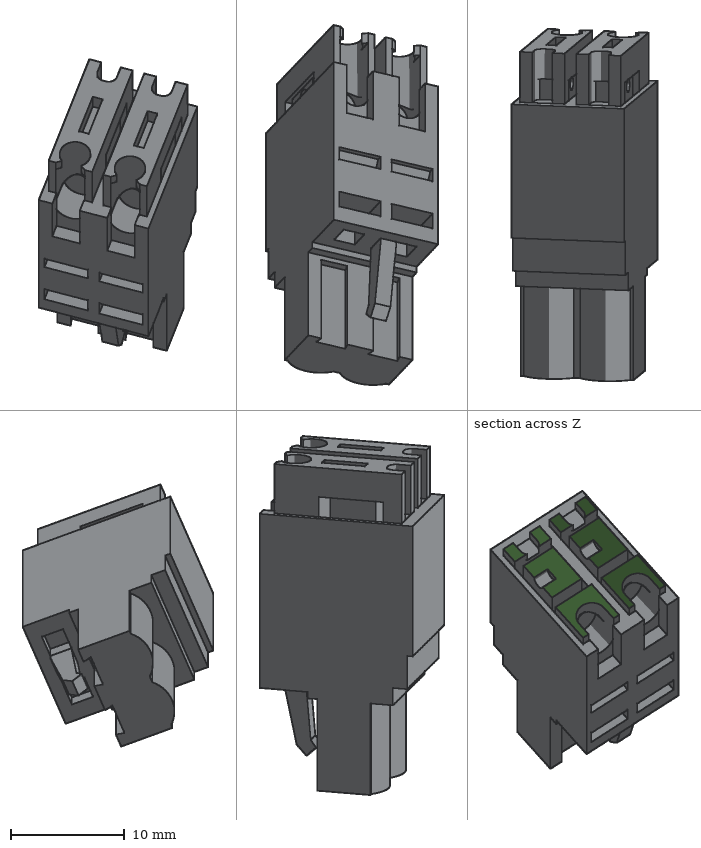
import cadquery as cq

POLES = 2
PITCH = 5.07
WIDTH = POLES * PITCH
DEPTH = 14.0
HEIGHT = 29.5
FRONT_Y = -DEPTH / 2
BACK_Y = DEPTH / 2
POLE_XS = [(pole - (POLES - 1) / 2) * PITCH for pole in range(POLES)]

BODY_TOP_Z = 25.0
BODY_BOTTOM_Z = 9.0
PLUG_TOP_Z = 8.4
BACK_STEP_1 = 0.5
BACK_STEP_1_Z = 13.05
BACK_STEP_2 = 1.8
BACK_STEP_2_Z = 10.0
COLLAR_FRONT_Y = -2.6

PLUG_FRONT_Y = -1.75
PLUG_CORNER_Y = 3.13
PLUG_CREST_Y = 4.1
LOBE_WIDTH = 4.48
KEYWAY_WIDTH = 2.55
KEYWAY_FLOOR_WIDTH = 2.83
KEYWAY_DEPTH = 0.77
KEYWAY_TOP_Z = 7.96

BUTTON_WIDTH = 4.0
BUTTON_LENGTH = 11.65
FRONT_WALL = 1.2
BUTTON_BOTTOM_Z = 20.12
BUTTON_FRONT_Y = FRONT_Y + FRONT_WALL
BUTTON_BACK_Y = BUTTON_FRONT_Y + BUTTON_LENGTH
WIRE_SLOT_WIDTH = 2.55

BORE_DIAMETER = 2.7
BORE_Y = -4.42
TURN_DIAMETER = 2.9
TURN_DEPTH = 2.77
TURN_Z = 23.25
LIP_HEIGHT = 1.0
LIP_GAP = 1.8
LIP_THROAT = 1.95
LIP_THROAT_Y = BUTTON_FRONT_Y + 0.27
LIP_PINCH_Y = BUTTON_FRONT_Y + 0.35

SLIT_WIDTH = 0.9
SLIT_LENGTH = 3.95
SLIT_DEPTH = 1.48
SLIT_Y = 0.05
NOTCH_WIDTH = 1.8
NOTCH_LENGTH = 1.85
NOTCH_CORNER_DIAMETER = 1.5
NOTCH_DEPTH = HEIGHT - BODY_TOP_Z
WINDOW_TOP_Z = 26.82
WINDOW_FRONT_Y = PLUG_FRONT_Y
WINDOW_BACK_Y = 4.15
TONGUE_FRONT_Y = -0.8
TONGUE_BACK_Y = 3.4
TONGUE_INSET = 0.35
PIVOT_DIAMETER = 1.2
PIVOT_DEPTH = 1.48
PIVOT_Y = 1.2
PIVOT_Z = 26.0

TEST_TOP_Z = 16.5
TEST_BOTTOM_Z = 15.25
TEST_DEPTH = 1.3
TEST_CEILING_DEPTH = 0.5
VENT_TOP_Z = 11.98
VENT_BOTTOM_Z = 10.47
VENT_DEPTH = 3.22
DRAIN_WIDTH = 2.0

LATCH_WIDTH = 1.5
LATCH_X = 0.8
LATCH_PROFILE = [
    (BUTTON_FRONT_Y, BODY_BOTTOM_Z),
    (BUTTON_FRONT_Y, 8.53),
    (-4.63, 3.0),
    (-3.72, 2.05),
    (-2.83, 2.83),
    (-3.33, 3.55),
    (-3.8, BODY_BOTTOM_Z),
]


def block(x_center, width, y_from, y_to, z_from, z_to):
    """Box centred on x_center, between the given Y and Z limits."""
    box = cq.Workplane("XY").box(width, y_to - y_from, z_to - z_from, centered=(True, False, False))
    return box.translate((x_center, y_from, z_from))


def side_extrusion(profile, x_center, width):
    """Extrude a closed (y, z) profile along X, centred on x_center."""
    solid = cq.Workplane("YZ").polyline(profile).close().extrude(width / 2, both=True)
    return solid.translate((x_center, 0, 0))


def make_shell():
    """Main block of the housing with its stepped back and the collar above the plug."""
    return side_extrusion(
        [
            (FRONT_Y, BODY_TOP_Z),
            (FRONT_Y, BODY_BOTTOM_Z),
            (COLLAR_FRONT_Y, BODY_BOTTOM_Z),
            (COLLAR_FRONT_Y, PLUG_TOP_Z),
            (BACK_Y - BACK_STEP_2, PLUG_TOP_Z),
            (BACK_Y - BACK_STEP_2, BACK_STEP_2_Z),
            (BACK_Y - BACK_STEP_1, BACK_STEP_2_Z),
            (BACK_Y - BACK_STEP_1, BACK_STEP_1_Z),
            (BACK_Y, BACK_STEP_1_Z),
            (BACK_Y, BODY_TOP_Z),
        ],
        0, WIDTH)


def make_keyway():
    """Dovetail groove in the front of the plug, wider at its floor than at its mouth."""
    floor_y = PLUG_FRONT_Y + KEYWAY_DEPTH
    return (
        cq.Workplane("XY")
        .polyline([
            (-KEYWAY_WIDTH / 2, PLUG_FRONT_Y),
            (KEYWAY_WIDTH / 2, PLUG_FRONT_Y),
            (KEYWAY_FLOOR_WIDTH / 2, floor_y),
            (-KEYWAY_FLOOR_WIDTH / 2, floor_y),
        ])
        .close()
        .extrude(KEYWAY_TOP_Z)
    )


def make_plug():
    """Plug block with one rounded lobe per pole at the back and one keyway per pole at the front."""
    outline = cq.Workplane("XY").moveTo(-WIDTH / 2, PLUG_CORNER_Y)
    outline = outline.lineTo(-WIDTH / 2, PLUG_FRONT_Y)
    outline = outline.lineTo(WIDTH / 2, PLUG_FRONT_Y)
    outline = outline.lineTo(WIDTH / 2, PLUG_CORNER_Y)
    for x in reversed(POLE_XS):
        outline = outline.lineTo(x + LOBE_WIDTH / 2, PLUG_CORNER_Y)
        outline = outline.threePointArc((x, PLUG_CREST_Y), (x - LOBE_WIDTH / 2, PLUG_CORNER_Y))
    plug = outline.close().extrude(PLUG_TOP_Z)
    for x in POLE_XS:
        plug = plug.cut(make_keyway().translate((x, 0, 0)))
    return plug


def make_pole_openings(x):
    """Everything cut from the housing for the pole at x."""
    pocket = block(x, BUTTON_WIDTH, BUTTON_FRONT_Y, BUTTON_BACK_Y, BUTTON_BOTTOM_Z, BODY_TOP_Z)
    wire_slot = block(x, WIRE_SLOT_WIDTH, FRONT_Y, BUTTON_FRONT_Y, BUTTON_BOTTOM_Z, BODY_TOP_Z)
    test_opening = side_extrusion(
        [
            (FRONT_Y, TEST_TOP_Z),
            (FRONT_Y, TEST_BOTTOM_Z),
            (FRONT_Y + TEST_DEPTH, TEST_BOTTOM_Z),
            (FRONT_Y + TEST_CEILING_DEPTH, TEST_TOP_Z),
        ],
        x, BUTTON_WIDTH)
    vent_back_y = FRONT_Y + VENT_DEPTH
    vent = block(x, BUTTON_WIDTH, FRONT_Y, vent_back_y, VENT_BOTTOM_Z, VENT_TOP_Z)
    drain = block(x, DRAIN_WIDTH, BUTTON_FRONT_Y, vent_back_y, BODY_BOTTOM_Z, VENT_BOTTOM_Z)
    return pocket.union(wire_slot).union(test_opening).union(vent).union(drain)


def make_housing():
    housing = make_shell().union(make_plug()).union(side_extrusion(LATCH_PROFILE, LATCH_X, LATCH_WIDTH))
    for x in POLE_XS:
        housing = housing.cut(make_pole_openings(x))
    return housing


def cut_wire_channel(button):
    """Cut the wire path: bore, front slot, narrowed mouth between the top lips, and horizontal turn."""
    lip_bottom_z = HEIGHT - LIP_HEIGHT
    bore_start = cq.Workplane("XY", origin=(0, BORE_Y, TURN_Z))
    vertical = bore_start.circle(BORE_DIAMETER / 2).extrude(HEIGHT - TURN_Z)
    front_slot = block(0, BORE_DIAMETER, BUTTON_FRONT_Y, BORE_Y, TURN_Z, lip_bottom_z)
    turn_start = cq.Workplane("XZ", origin=(0, BUTTON_FRONT_Y, TURN_Z))
    horizontal = turn_start.circle(TURN_DIAMETER / 2).extrude(-TURN_DEPTH)
    mouth = (
        cq.Workplane("XY", origin=(0, 0, lip_bottom_z))
        .polyline([
            (-BORE_DIAMETER / 2, BUTTON_FRONT_Y),
            (BORE_DIAMETER / 2, BUTTON_FRONT_Y),
            (LIP_THROAT / 2, LIP_THROAT_Y),
            (LIP_GAP / 2, LIP_PINCH_Y),
            (LIP_GAP / 2, BORE_Y),
            (-LIP_GAP / 2, BORE_Y),
            (-LIP_GAP / 2, LIP_PINCH_Y),
            (-LIP_THROAT / 2, LIP_THROAT_Y),
        ])
        .close()
        .extrude(LIP_HEIGHT)
    )
    return button.cut(vertical).cut(front_slot).cut(mouth).cut(horizontal)


def make_back_notch():
    """Rounded notch in the back of the button, as deep as the button stands above the housing."""
    notch = block(0, NOTCH_WIDTH, BUTTON_BACK_Y - NOTCH_LENGTH, BUTTON_BACK_Y, HEIGHT - NOTCH_DEPTH, HEIGHT)
    return notch.edges("|Z and <Y").fillet(NOTCH_CORNER_DIAMETER / 2)


def make_window():
    """Opening across the button around its tongue, with the tongue's inset and blind pivot hole."""
    opening = block(0, BUTTON_WIDTH, WINDOW_FRONT_Y, WINDOW_BACK_Y, BUTTON_BOTTOM_Z, WINDOW_TOP_Z)
    tongue_width = BUTTON_WIDTH - 2 * TONGUE_INSET
    tongue = block(0, tongue_width, TONGUE_FRONT_Y, TONGUE_BACK_Y, BUTTON_BOTTOM_Z, WINDOW_TOP_Z)
    pivot_start = cq.Workplane("YZ", origin=(-tongue_width / 2, PIVOT_Y, PIVOT_Z))
    pivot = pivot_start.circle(PIVOT_DIAMETER / 2).extrude(PIVOT_DEPTH)
    return opening.cut(tongue.cut(pivot))


def make_button(x):
    """Push button for the pole at x."""
    button = block(0, BUTTON_WIDTH, BUTTON_FRONT_Y, BUTTON_BACK_Y, BUTTON_BOTTOM_Z, HEIGHT)
    slit = block(0, SLIT_WIDTH, SLIT_Y - SLIT_LENGTH / 2, SLIT_Y + SLIT_LENGTH / 2, HEIGHT - SLIT_DEPTH, HEIGHT)
    button = cut_wire_channel(button).cut(slit).cut(make_back_notch()).cut(make_window())
    return button.translate((x, 0, 0))


housing = make_housing()
buttons = [make_button(x) for x in POLE_XS]

result = cq.Compound.makeCompound([housing.val(), *[button.val() for button in buttons]])